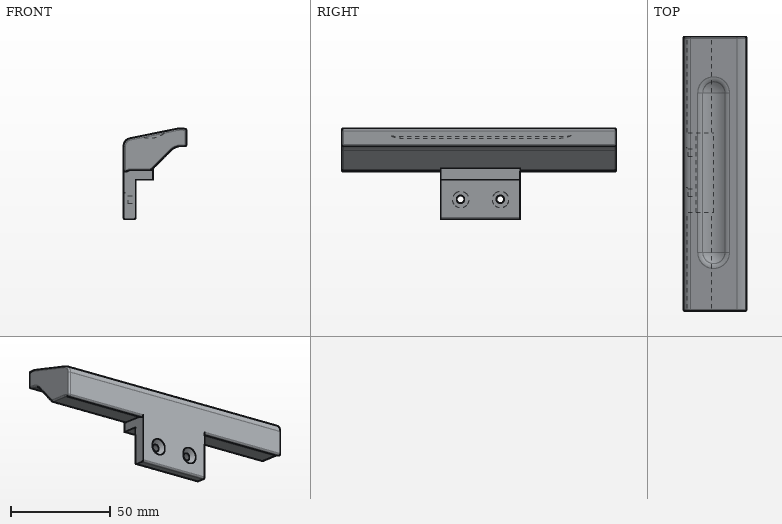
import cadquery as cq
import math

beam_length = 138.5
beam_width = 31.9
top_height = 46.0
top_slope = 11.5
back_top_height = 40.3
back_round = 4.2
crest_round = 10.0
edge_break = 1.0
end_break = 0.8

beam_bottom = 24.8
lip_bottom = 24.1
lip_width = 1.7
lip_end = 3.9
grip_bottom = 36.8
grip_round = 6.9

tab_center = 0.7
tab_width = 40.2
tab_thickness = 6.2
shelf_bottom = 20.0
shelf_depth = 15.0
shelf_top = 25.8

hole_diameter = 3.7
countersink_diameter = 8.3
countersink_angle = 90
hole_spacing = 20.1
hole_height = 10.1

recess_x = 15.1
recess_straight = 80.3
recess_half_width = 8.2
floor_radius = 11.6
rim_radius = 5.0

slope = math.tan(math.radians(top_slope))


def top_at(x):
    """Height of the sloping top face at x."""
    return back_top_height + slope * x


def side_extrusion(outline, width, center):
    """Extrude a wire drawn in the XZ plane symmetrically about Y = center."""
    return outline.close().extrude(width / 2, both=True).translate((0, center, 0))


def long_edge(body, x, z):
    """The edge along Y nearest to the point (x, z)."""
    return body.edges("|Y").edges(cq.selectors.NearestToPointSelector((x, 0, z)))


def make_beam():
    underside_offset = shelf_top - shelf_depth
    flat_end = beam_bottom - underside_offset
    grip_start = grip_bottom - underside_offset

    run = lip_end - lip_width
    rise = beam_bottom - lip_bottom
    blend_radius = (run**2 + rise**2) / (2 * rise)

    angle = math.radians(top_slope)
    crest_drop = crest_round * (1 - math.cos(angle))
    crest_start = (top_height - crest_drop - back_top_height) / slope
    crest_x = crest_start + crest_round * math.sin(angle)
    end_rise = math.sqrt(crest_round**2 - (beam_width - crest_x) ** 2)
    crest_end_height = top_height - crest_round + end_rise

    outline = (
        cq.Workplane("XZ")
        .moveTo(0, lip_bottom)
        .lineTo(lip_width, lip_bottom)
        .radiusArc((lip_end, beam_bottom), blend_radius)
        .lineTo(flat_end, beam_bottom)
        .lineTo(grip_start, grip_bottom)
        .lineTo(beam_width, grip_bottom)
        .lineTo(beam_width, crest_end_height)
        .threePointArc((crest_x, top_height), (crest_start, top_at(crest_start)))
        .lineTo(0, back_top_height)
    )
    beam = side_extrusion(outline, beam_length, 0)
    beam = long_edge(beam, 0, back_top_height).fillet(back_round)
    beam = long_edge(beam, grip_start, grip_bottom).fillet(grip_round)
    small_edges = [(0, lip_bottom), (beam_width, grip_bottom), (beam_width, crest_end_height)]
    for x, z in small_edges:
        beam = long_edge(beam, x, z).fillet(edge_break)
    return beam.faces("<Y or >Y").edges().fillet(end_break)


def make_tab():
    outline = (
        cq.Workplane("XZ")
        .moveTo(0, 0)
        .lineTo(tab_thickness, 0)
        .lineTo(tab_thickness, shelf_bottom)
        .lineTo(shelf_depth, shelf_bottom)
        .lineTo(shelf_depth, shelf_top)
        .lineTo(0, shelf_top)
    )
    tab = side_extrusion(outline, tab_width, tab_center)
    tab = tab.faces("<Z").edges("|Y").fillet(edge_break)
    hole_origin = (0, tab_center, hole_height)
    hole_plane = cq.Workplane(cq.Plane(hole_origin, xDir=(0, 1, 0), normal=(-1, 0, 0)))
    holes = [(-hole_spacing / 2, 0), (hole_spacing / 2, 0)]
    tab = tab.copyWorkplane(hole_plane).pushPoints(holes)
    return tab.cskHole(hole_diameter, countersink_diameter, countersink_angle)


def make_recess():
    """Tool body: a dished trough with a rounded rim and revolved ends, built on the sloping top."""
    plane = cq.Plane(
        origin=(recess_x, tab_center - recess_straight / 2, top_at(recess_x)),
        xDir=(1, 0, slope),
        normal=(0, -1, 0),
    )
    arc_centers = floor_radius + rim_radius
    wall_angle = math.asin(recess_half_width / arc_centers)
    floor_center = arc_centers * math.cos(wall_angle) - rim_radius
    floor_edge_x = floor_radius * math.sin(wall_angle)
    floor_edge_z = floor_center - floor_radius * math.cos(wall_angle)
    floor_edge = (floor_edge_x, floor_edge_z)
    floor_bottom = (0, floor_center - floor_radius)
    rim = (recess_half_width, 0)

    half = (
        cq.Workplane(plane)
        .moveTo(*floor_bottom)
        .radiusArc(floor_edge, -floor_radius)
        .radiusArc(rim, rim_radius)
        .lineTo(0, 0)
        .close()
    )
    full = (
        cq.Workplane(plane)
        .moveTo(-recess_half_width, 0)
        .radiusArc((-floor_edge_x, floor_edge_z), rim_radius)
        .threePointArc(floor_bottom, floor_edge)
        .radiusArc(rim, rim_radius)
        .close()
    )
    end = half.revolve(axisStart=(0, 0), axisEnd=(0, 1))
    far_end = end.translate((0, recess_straight, 0))
    trough = full.extrude(-recess_straight)
    return trough.union(end).union(far_end)


result = make_beam().union(make_tab()).cut(make_recess())